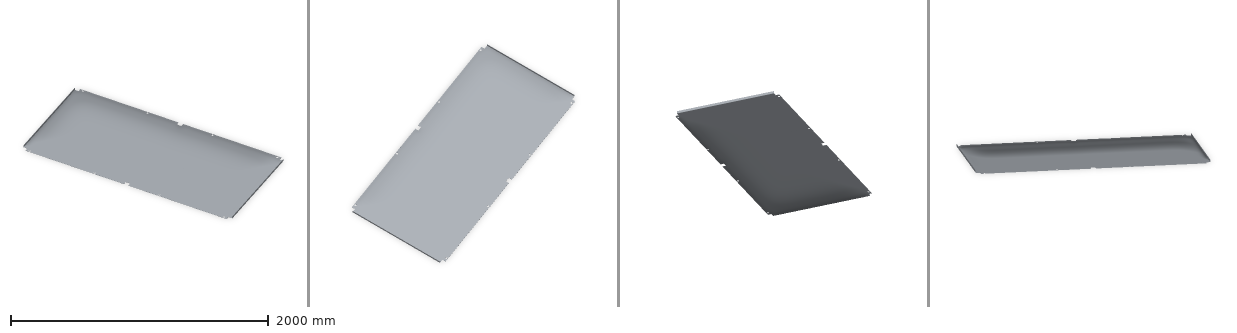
import cadquery as cq

length = 1850.0
width = 880.0
height = 20.0
thickness = 2.0

notch_depth = 30.0
corner_notch_length = 35.0
middle_notch_length = 39.0

hole_diameter = 17.0
hole_spacing = 574.0
holes_per_edge = 4
hole_edge_distance = 13.0

flange_width = width - 2 * notch_depth
bend_radius = 0.4


def make_folded_sheet():
    """Sheet with both short ends folded upward, before the tabs are added."""
    tray = cq.Workplane("XY").box(length, flange_width, height, centered=(True, True, False))
    tray = tray.edges("|Y and <Z").fillet(bend_radius + thickness)
    cavity = (
        cq.Workplane("XY")
        .workplane(offset=thickness)
        .box(length - 2 * thickness, flange_width, height, centered=(True, True, False))
        .edges("|Y and <Z")
        .fillet(bend_radius)
    )
    return tray.cut(cavity)


def make_edge_strips():
    """Flat sheet running the full width, set back at the four corners."""
    strip_length = length - 2 * corner_notch_length
    return cq.Workplane("XY").box(strip_length, width, thickness, centered=(True, True, False))


def make_middle_notches():
    """Rectangular notches halfway along both long edges."""
    return (
        cq.Workplane("XY")
        .pushPoints([(0, -width / 2), (0, width / 2)])
        .rect(middle_notch_length, 2 * notch_depth)
        .extrude(thickness)
    )


def make_fixing_holes():
    """Two evenly spaced rows of through holes."""
    row_spacing = width - 2 * hole_edge_distance
    return (
        cq.Workplane("XY")
        .rarray(hole_spacing, row_spacing, holes_per_edge, 2)
        .circle(hole_diameter / 2)
        .extrude(thickness)
    )


panel = make_folded_sheet().union(make_edge_strips())
result = panel.cut(make_middle_notches()).cut(make_fixing_holes())